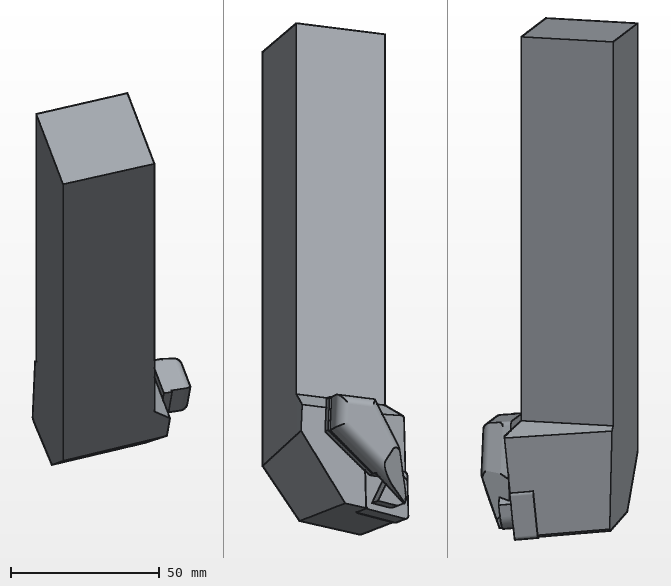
import cadquery as cq
import math


SHANK = 32.0
TOTAL_LENGTH = 171.35
SHOULDER_Z = 39.5
RIGHT_SIDE_DRAFT = 0.2
DRAFT_MARGIN = 1.0

CUTTING_CORNER = (-8.47, SHANK, -0.12)
TILT_X = 5.8
TILT_Z = 6.8
LEAD = 5.0
EDGE_UP = 90 - LEAD

INSERT_EDGE = 16.1
INSERT_THICKNESS = 7.94
NOSE_RADIUS = 1.2

HEAD_CORNER = (0.75, 0.3)
HEAD_CORNER_CUT = 0.9
HEAD_BOTTOM = 22.9
RELIEF_ANGLE = 53.0
HEAD_BACK_RISE = 1.4

BREAKER_CORNER = (2.6, 2.6)
BREAKER_THICKNESS = 4.6
BREAKER_BOTTOM = 11.5
BREAKER_SIDE = 9.5
BREAKER_BACK = 6.75
BREAKER_BACK_ANGLE = 40.0
BREAKER_RADIUS = 4.5
BREAKER_SPACE = 13.0

CLAMP_BACK = 37.4
CLAMP_BACK_LEFT = (8.4, CLAMP_BACK)
CLAMP_BACK_RIGHT = (22.7, CLAMP_BACK)
CLAMP_SIDE_END = (22.7, 26.0)
CLAMP_NOSE_FRONT = (-4.7, 3.8)
CLAMP_NOSE_BACK = (-4.7, 16.1)
CLAMP_HEIGHT = 10.75
CLAMP_TOP_RADIUS = 3.4
CLAMP_CORNER_RADIUS = 2.5
FOOT_HEIGHT = 2.9
FOOT_FLANGE = 0.7
FLANK_LEAN = 7.5
NOSE_SIDE_POINT = (-0.7, 38.5, 24.0)
NOSE_SIDE_NORMAL = (-0.945, 0.24, 0.22)
NOSE_FRONT_POINT = (0.6, 45.4, 18.1)
NOSE_FRONT_NORMAL = (-0.3, 0.8, -0.275)

REACH = 80.0

tan_x = math.tan(math.radians(TILT_X))
tan_z = math.tan(math.radians(TILT_Z))
bearing_y = SHANK + HEAD_BACK_RISE

seat = cq.Plane(origin=CUTTING_CORNER, xDir=(1, tan_x, 0), normal=(tan_x, -1, tan_z))
bearing = cq.Plane(origin=(0, bearing_y, 0), xDir=(1, 0, 0), normal=(0, -1, tan_z))
along_seat_normal = cq.selectors.ParallelDirSelector(seat.zDir)
top_of_clamp = cq.selectors.DirectionMinMaxSelector(bearing.zDir, False)
back_of_clamp = cq.selectors.DirectionMinMaxSelector(bearing.yDir)


def offset_point(start, length, angle):
    """Point at a distance from `start`, at an angle from the local x axis."""
    turn = math.radians(angle)
    return (start[0] + length * math.cos(turn), start[1] + length * math.sin(turn))


def prism(plane, points, depth):
    """Straight block on a plane; a negative depth rises out of the holder."""
    return cq.Workplane(plane).polyline(points).close().extrude(depth)


def half_space(point, normal):
    """Large block on the outer side of a plane."""
    plane = cq.Plane(origin=point, normal=normal)
    return cq.Workplane(plane).rect(2 * REACH, 2 * REACH).extrude(REACH)


def make_insert():
    corner = (0, 0)
    bottom_end = offset_point(corner, INSERT_EDGE, LEAD)
    side_end = offset_point(corner, INSERT_EDGE, EDGE_UP)
    far_corner = offset_point(bottom_end, INSERT_EDGE, EDGE_UP)
    rhombus = prism(seat, [corner, bottom_end, far_corner, side_end], INSERT_THICKNESS)
    return rhombus.edges(along_seat_normal).fillet(NOSE_RADIUS)


def make_shank():
    length = TOTAL_LENGTH - SHOULDER_Z
    base = cq.Workplane("XY").workplane(offset=SHOULDER_Z)
    return base.rect(SHANK, SHANK, centered=False).extrude(length)


def make_side_draft():
    """Thin wedge to remove from the +X side of the holder."""
    wedge = [(SHANK, SHANK), (SHANK - RIGHT_SIDE_DRAFT, 0), (SHANK + DRAFT_MARGIN, 0)]
    return prism(cq.Plane.XY(), wedge, TOTAL_LENGTH)


def make_head():
    """Tilted block below the seat, limited by 45 degree flares that start at the shank."""
    below_corner = offset_point(HEAD_CORNER, HEAD_CORNER_CUT, LEAD)
    above_corner = offset_point(HEAD_CORNER, HEAD_CORNER_CUT, EDGE_UP)
    relief_start = offset_point(HEAD_CORNER, HEAD_BOTTOM, LEAD)
    relief_end = offset_point(relief_start, REACH, RELIEF_ANGLE)
    flank_end = offset_point(HEAD_CORNER, REACH, EDGE_UP)
    block = prism(seat, [below_corner, relief_start, relief_end, flank_end, above_corner], REACH)

    side_flare = [(0, SHOULDER_Z), (SHANK, SHOULDER_Z), (SHANK, 0), (-SHOULDER_Z, 0)]
    side_limit = prism(cq.Plane.XZ(), side_flare, -REACH)

    flare_end_z = (SHOULDER_Z - HEAD_BACK_RISE) / (1 + tan_z)
    flare_end = (bearing_y + flare_end_z * tan_z, flare_end_z)
    top_flare = [(0, SHOULDER_Z), (SHANK, SHOULDER_Z), flare_end, (bearing_y, 0), (0, 0)]
    top_limit = cq.Workplane("YZ").polyline(top_flare).close().extrude(REACH, both=True)
    return block.intersect(side_limit).intersect(top_limit)


def make_breaker():
    bottom_end = offset_point(BREAKER_CORNER, BREAKER_BOTTOM, LEAD)
    side_end = offset_point(BREAKER_CORNER, BREAKER_SIDE, EDGE_UP)
    back_end = offset_point(side_end, BREAKER_BACK, BREAKER_BACK_ANGLE)
    plate = prism(seat, [BREAKER_CORNER, bottom_end, back_end, side_end], -BREAKER_THICKNESS)
    return plate.edges(along_seat_normal).edges("<Z").fillet(BREAKER_RADIUS)


def clamp_block(height, flange):
    """Upright block of the clamp, widened by `flange` on its +X side."""
    wide_back = (CLAMP_BACK_RIGHT[0] + flange, CLAMP_BACK_RIGHT[1])
    wide_end = (CLAMP_SIDE_END[0] + flange, CLAMP_SIDE_END[1])
    outline = [CLAMP_BACK_LEFT, wide_back, wide_end, CLAMP_NOSE_FRONT, CLAMP_NOSE_BACK]
    return prism(bearing, outline, -height)


def round_back_corner(block):
    return block.faces(back_of_clamp).edges("not |X").edges("<X").fillet(CLAMP_CORNER_RADIUS)


def make_flank_lean():
    """Space outside the leaning flank, which hinges on the foot's top edge."""
    hinge = bearing.toWorldCoords((*CLAMP_BACK_LEFT, -FOOT_HEIGHT))
    run_x = CLAMP_BACK_LEFT[0] - CLAMP_NOSE_BACK[0]
    run_y = CLAMP_BACK_LEFT[1] - CLAMP_NOSE_BACK[1]
    outward = (bearing.yDir * run_x - bearing.xDir * run_y).normalized()
    lean = math.radians(FLANK_LEAN)
    normal = outward * math.cos(lean) - bearing.zDir * math.sin(lean)
    return half_space(hinge, normal)


def make_clamp():
    arm = clamp_block(CLAMP_HEIGHT, 0).cut(make_flank_lean())
    arm = arm.faces(top_of_clamp).edges("not <X").fillet(CLAMP_TOP_RADIUS)
    foot = clamp_block(FOOT_HEIGHT, FOOT_FLANGE)
    clamp = round_back_corner(arm).union(round_back_corner(foot))

    breaker_space = cq.Workplane(seat).rect(2 * REACH, 2 * BREAKER_SPACE).extrude(-BREAKER_THICKNESS)
    nose_side = half_space(NOSE_SIDE_POINT, NOSE_SIDE_NORMAL)
    nose_front = half_space(NOSE_FRONT_POINT, NOSE_FRONT_NORMAL)
    return clamp.cut(breaker_space).cut(nose_side).cut(nose_front)


insert = make_insert()
holder = make_shank().union(make_head()).cut(make_side_draft())
holder = holder.union(make_clamp()).union(make_breaker()).cut(insert)

result = cq.Compound.makeCompound([holder.val(), insert.val()])